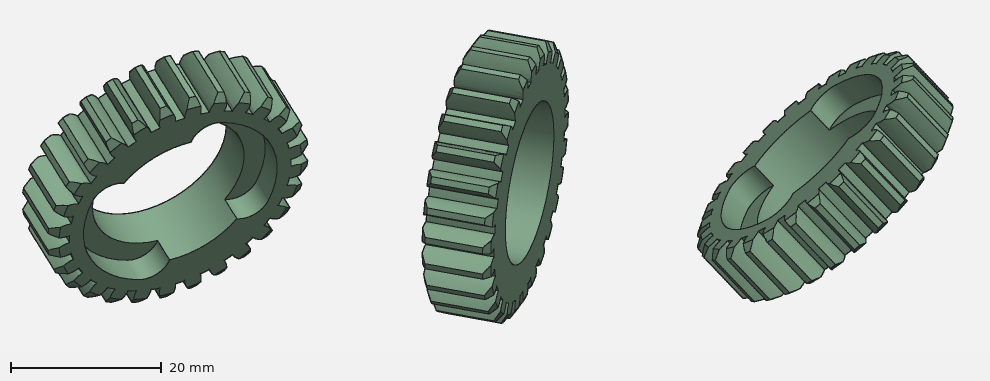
import cadquery as cq
import math


outer_size = 37.95
tooth_count = 28
addendum = 1.0
dedendum = 1.25
pressure_angle = math.radians(20)
tooth_pitch = 2 * math.pi / tooth_count
flank_points = 5

width = 9.53
bore_radius = 11.1
chamfer_width = 0.75
chamfer_angle = math.radians(60)
chamfer_depth = chamfer_width * math.tan(chamfer_angle)

pocket_count = 2
pocket_depth = 3.8
pocket_outer_radius = 14.15
pocket_end_radius = 3.23
pocket_path_radius = pocket_outer_radius - pocket_end_radius
pocket_inner_radius = pocket_path_radius - pocket_end_radius
pocket_half_sweep = math.radians(45)
pocket_middle = math.radians(20)


def involute(angle):
    return math.tan(angle) - angle


tip_pressure_angle = math.acos(math.cos(pressure_angle) / (1 + 2 * addendum / tooth_count))
tip_half_angle = tooth_pitch / 4 + involute(pressure_angle) - involute(tip_pressure_angle)
tip_radius = outer_size / 2 / math.cos(tooth_pitch / 2 - tip_half_angle)
module = 2 * tip_radius / (tooth_count + 2 * addendum)
pitch_radius = module * tooth_count / 2
root_radius = pitch_radius - dedendum * module
base_radius = pitch_radius * math.cos(pressure_angle)


def polar(radius, angle):
    """Point in the YZ plane, with the angle measured from +Y towards +Z."""
    return (radius * math.cos(angle), radius * math.sin(angle))


def half_tooth_angle(radius):
    """Half the angle a tooth spans at a radius on its involute flank."""
    local_pressure_angle = math.acos(base_radius / radius)
    return tooth_pitch / 4 + involute(pressure_angle) - involute(local_pressure_angle)


def make_toothed_disc():
    flank_step = (tip_radius - base_radius) / (flank_points - 1)
    flank_radii = [base_radius + i * flank_step for i in range(flank_points - 1)] + [tip_radius]
    root_half_angle = half_tooth_angle(base_radius)

    outline = cq.Workplane("YZ", origin=(-width / 2, 0, 0))
    outline = outline.moveTo(*polar(root_radius, tooth_pitch / 2 - root_half_angle))
    for tooth in range(tooth_count):
        middle = (tooth + 0.5) * tooth_pitch
        rising = [polar(r, middle - half_tooth_angle(r)) for r in flank_radii]
        falling = [polar(r, middle + half_tooth_angle(r)) for r in reversed(flank_radii)]
        next_root = polar(root_radius, middle + tooth_pitch - root_half_angle)

        outline = outline.lineTo(*rising[0])
        outline = outline.spline(rising[1:], includeCurrent=True)
        outline = outline.threePointArc(polar(tip_radius, middle), falling[0])
        outline = outline.spline(falling[1:], includeCurrent=True)
        outline = outline.lineTo(*polar(root_radius, middle + root_half_angle))
        outline = outline.threePointArc(polar(root_radius, middle + tooth_pitch / 2), next_root)
    return outline.close().extrude(width)


def make_chamfered_blank():
    """Disc with both rims chamfered, which trims the tooth ends."""
    face = width / 2
    rim_radius = tip_radius - chamfer_depth
    clearance = 0.38
    clear_face = face - chamfer_width - clearance / math.tan(chamfer_angle)
    profile = [
        (-face, 0),
        (-face, rim_radius),
        (-clear_face, tip_radius + clearance),
        (clear_face, tip_radius + clearance),
        (face, rim_radius),
        (face, 0),
    ]
    return cq.Workplane("XY").polyline(profile).close().revolve(360, (0, 0, 0), (1, 0, 0))


def make_pocket(middle):
    """Curved slot with round ends whose inner side opens into the bore."""
    start = middle - pocket_half_sweep
    end = middle + pocket_half_sweep
    path_start_y, path_start_z = polar(pocket_path_radius, start)
    bulge_y, bulge_z = polar(pocket_end_radius, start - math.pi / 2)
    start_cap = (path_start_y + bulge_y, path_start_z + bulge_z)
    path_end_y, path_end_z = polar(pocket_path_radius, end)
    bulge_y, bulge_z = polar(pocket_end_radius, end + math.pi / 2)
    end_cap = (path_end_y + bulge_y, path_end_z + bulge_z)
    return (
        cq.Workplane("YZ", origin=(width / 2 - pocket_depth, 0, 0))
        .moveTo(*polar(pocket_outer_radius, start))
        .threePointArc(polar(pocket_outer_radius, middle), polar(pocket_outer_radius, end))
        .threePointArc(end_cap, polar(pocket_inner_radius, end))
        .threePointArc(polar(pocket_inner_radius, middle), polar(pocket_inner_radius, start))
        .threePointArc(start_cap, polar(pocket_outer_radius, start))
        .close()
        .extrude(pocket_depth)
    )


bore = cq.Workplane("YZ", origin=(-width / 2, 0, 0)).circle(bore_radius).extrude(width)
result = make_toothed_disc().intersect(make_chamfered_blank()).cut(bore)
for pocket in range(pocket_count):
    result = result.cut(make_pocket(pocket_middle + pocket * 2 * math.pi / pocket_count))